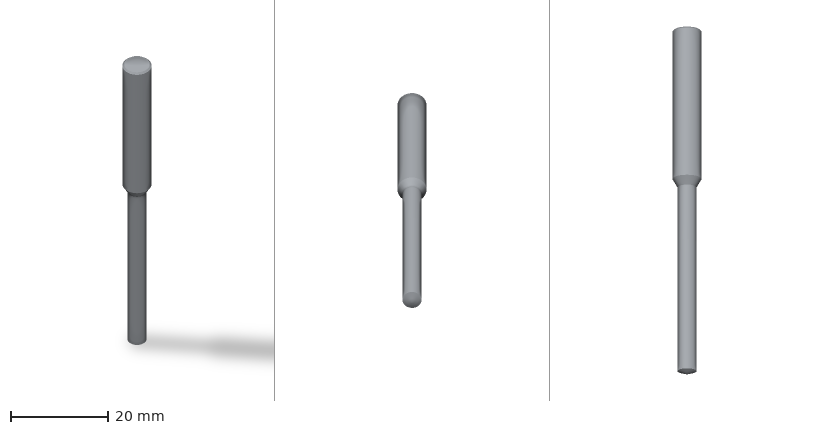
import cadquery as cq
import math

total_length = 74.0
shank_radius = 6.0 / 2
cutter_radius = 3.9 / 2

cutter_top = 28.5
taper_top = 42.0

taper_half_angle = 30.0
point_angle = 140.0

chamfer_size = 0.4

taper_height = (shank_radius - cutter_radius) / math.tan(math.radians(taper_half_angle))
taper_bottom = taper_top - taper_height
point_height = cutter_radius / math.tan(math.radians(point_angle / 2))


def revolve_profile(points):
    """Turn a closed (radius, height) outline around the Z axis."""
    return cq.Workplane("XZ").polyline(points).close().revolve(360, (0, 0), (0, 1))


def make_shank():
    """Clamping shank with a chamfered top, tapering down to the neck."""
    return revolve_profile([
        (0, cutter_top),
        (cutter_radius, cutter_top),
        (cutter_radius, taper_bottom),
        (shank_radius, taper_top),
        (shank_radius, total_length - chamfer_size),
        (shank_radius - chamfer_size, total_length),
        (0, total_length),
    ])


def make_cutter():
    """Plain cylindrical cutting section with a conical point."""
    return revolve_profile([
        (0, 0),
        (cutter_radius, point_height),
        (cutter_radius, cutter_top),
        (0, cutter_top),
    ])


shank = make_shank()
cutter = make_cutter()

result = cq.Compound.makeCompound([shank.val(), cutter.val()])